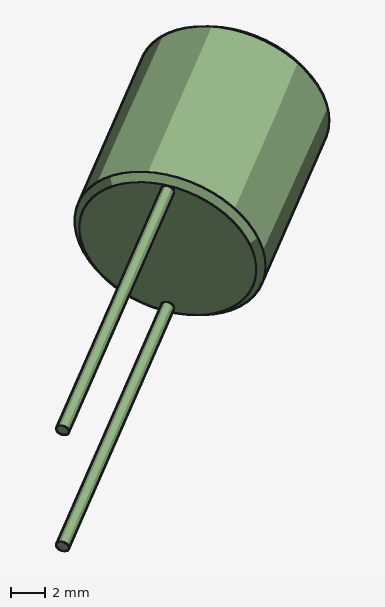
import cadquery as cq

total_length = 33.0
lead_length = 20.0
body_length = total_length - lead_length
body_diameter = 11.7
edge_chamfer = 0.43

lead_diameter = 0.8
lead_pitch = 10.0
lead_embed = 0.33


def cylinder_along_y(diameter, length, start_y, center_z=0.0):
    """Solid cylinder running from start_y toward +Y."""
    plane = cq.Plane(origin=(0, start_y, center_z), xDir=(1, 0, 0), normal=(0, 1, 0))
    return cq.Workplane(plane).circle(diameter / 2).extrude(length)


result = cylinder_along_y(body_diameter, body_length, 0).edges("%CIRCLE").chamfer(edge_chamfer)

for side in (-1, 1):
    lead = cylinder_along_y(lead_diameter, lead_length + lead_embed, -lead_length, side * lead_pitch / 2)
    result = result.union(lead)